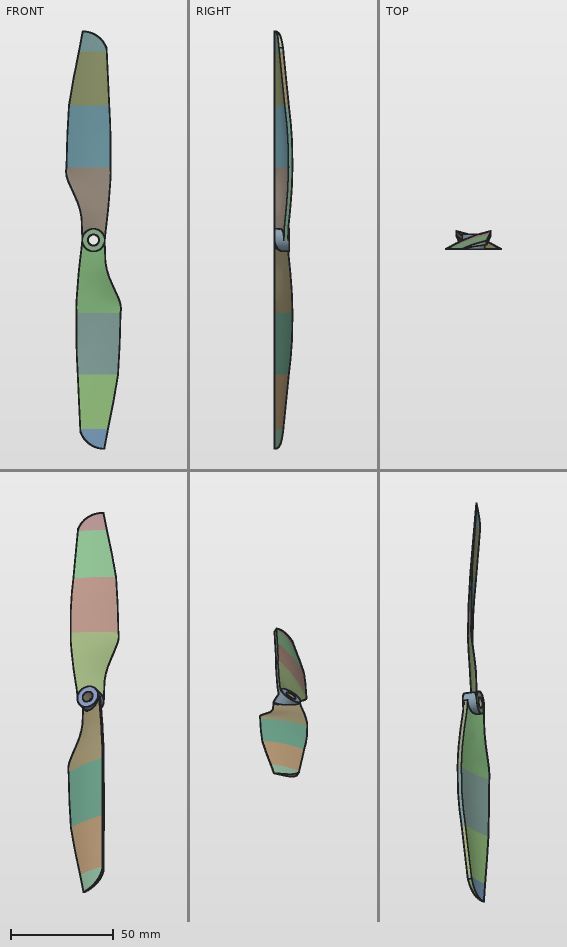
import cadquery as cq

SPAN = 203.2
HALF_SPAN = SPAN / 2
HUB_RADIUS = 5.5
HUB_DEPTH = 7.3
BORE_RADIUS = 2.6

HUB_SECTION = (0.0, -5.5, 5.5, 6.7)
SHOULDER_SECTION = (35.4, -13.2, 8.3, 9.0)
TAPER_SECTION = (65.5, -12.0, 7.7, 7.1)
TIP_START_SECTION = (91.8, -7.1, 6.5, 4.5)
TIP_SECTION = (HALF_SPAN, -5.3, 5.9, 3.5)
BLADE_STRETCHES = [
    [
        HUB_SECTION,
        (8.7, -5.7, 6.5, 7.1),
        (16.5, -7.1, 7.3, 8.0),
        (24.2, -10.4, 8.0, 8.5),
        (29.9, -12.8, 8.3, 8.7),
        SHOULDER_SECTION,
    ],
    [SHOULDER_SECTION, (50.8, -12.8, 8.3, 8.5), TAPER_SECTION],
    [TAPER_SECTION, (78.6, -9.8, 7.1, 5.7), TIP_START_SECTION],
    [TIP_START_SECTION, TIP_SECTION],
]
FRONT_EDGE_THICKNESS = 0.2
REAR_EDGE_THICKNESS = 2.0
CAMBER_RATIO = 0.05

TIP_POINT_X = TIP_SECTION[1]
TIP_MIDDLE = (2.0, 99.2)
TIP_END = (6.3, 93.5)
TRIM_HALF_WIDTH = 20.3


def blade_section(height, front_x, rear_x, rear_y):
    """Thin cambered section that rises from the front edge at Y = 0 to the rear edge."""
    middle_x = (front_x + rear_x) / 2
    camber = CAMBER_RATIO * (rear_x - front_x)
    inner_y = rear_y - REAR_EDGE_THICKNESS
    lower_middle_y = inner_y / 2 + camber
    upper_middle_y = (FRONT_EDGE_THICKNESS + rear_y) / 2 + camber

    front_low = cq.Vector(front_x, 0, height)
    front_high = cq.Vector(front_x, FRONT_EDGE_THICKNESS, height)
    rear_low = cq.Vector(rear_x, inner_y, height)
    rear_high = cq.Vector(rear_x, rear_y, height)
    lower_middle = cq.Vector(middle_x, lower_middle_y, height)
    upper_middle = cq.Vector(middle_x, upper_middle_y, height)

    return cq.Wire.assembleEdges([
        cq.Edge.makeThreePointArc(front_low, lower_middle, rear_low),
        cq.Edge.makeLine(rear_low, rear_high),
        cq.Edge.makeThreePointArc(rear_high, upper_middle, front_high),
        cq.Edge.makeLine(front_high, front_low),
    ])


def loft_sections(sections):
    return cq.Workplane(cq.Solid.makeLoft([blade_section(*section) for section in sections]))


def tip_trim():
    """Block, open towards the hub, whose outer end has the rounded outline of the tip."""
    return (
        cq.Workplane("XZ")
        .moveTo(-TRIM_HALF_WIDTH, 0)
        .lineTo(-TRIM_HALF_WIDTH, HALF_SPAN)
        .lineTo(TIP_POINT_X, HALF_SPAN)
        .threePointArc(TIP_MIDDLE, TIP_END)
        .lineTo(TRIM_HALF_WIDTH, TIP_END[1])
        .lineTo(TRIM_HALF_WIDTH, 0)
        .close()
        .extrude(TRIM_HALF_WIDTH, both=True)
    )


def hub_cylinder(radius):
    return cq.Workplane("XZ").circle(radius).extrude(-HUB_DEPTH)


def make_blade():
    """Upper blade, its root hollowed to sit against the round hub."""
    blade = cq.Workplane()
    for sections in BLADE_STRETCHES:
        blade = blade.add(loft_sections(sections))
    blade = blade.combine()
    return blade.intersect(tip_trim()).cut(hub_root_clearance())


def hub_root_clearance():
    """Hub envelope, extended rearward so that no blade material stands over the hub."""
    return cq.Workplane("XZ").circle(HUB_RADIUS).extrude(-2 * HUB_DEPTH)


def make_bladed_hub(blade):
    """Bored hub in one piece with the upper blade."""
    return hub_cylinder(HUB_RADIUS).union(blade).cut(hub_cylinder(BORE_RADIUS))


upper_blade = make_blade()
bladed_hub = make_bladed_hub(upper_blade)
lower_blade = upper_blade.rotate((0, 0, 0), (0, 1, 0), 180)

result = cq.Compound.makeCompound([bladed_hub.val(), lower_blade.val()])